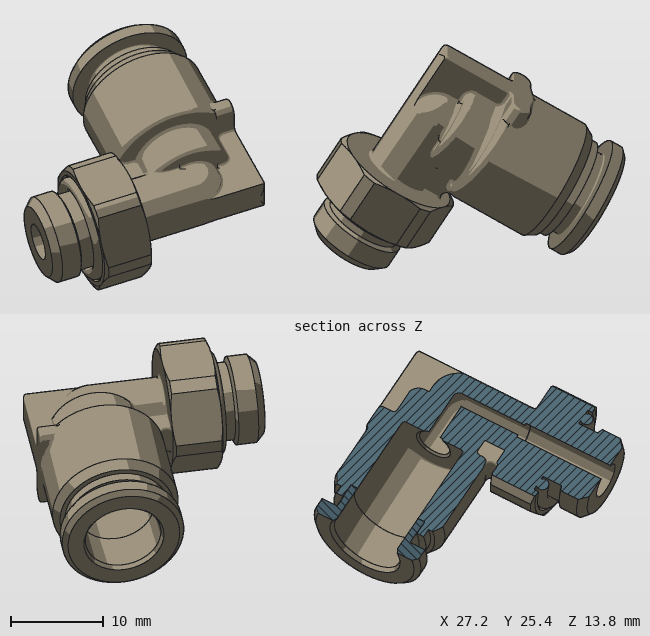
import cadquery as cq
import math


COLLAR_FACE_X = -20.15
COLLAR_FLANGE_RADIUS = 6.68
COLLAR_FLANGE_CHAMFER = 0.55
COLLAR_FLANGE_LENGTH = 1.88
COLLAR_NECK_RADIUS = 4.9
COLLAR_NECK_FILLET = 0.15
COLLAR_END_X = -15.3
TUBE_RADIUS = 4.15
TUBE_ENTRY_WIDENING = 0.25
TUBE_ENTRY_DEPTH = 0.52

LIP_X = -16.95
LIP_RADIUS = 5.75
SHOULDER_X = -15.91
SHOULDER_RADIUS = 6.27
SLEEVE_X = -14.82
SLEEVE_RADIUS = 6.9
SLEEVE_END_X = -5.42
REDUCED_RADIUS = 5.1
REDUCED_END_X = -1.28
SLEEVE_FILLET = 0.82

TUBE_STOP_X = -5.45
TUBE_STOP_FILLET = 0.27
PASSAGE_RADIUS = 1.88
PASSAGE_ENTRY_CHAMFER = 0.25
STUD_BORE_RADIUS = 2.0

ELBOW_RADIUS = 3.5
ELBOW_BASE_FILLET = 0.33
WEB_HALF_THICKNESS = 1.75
BACK_Y = 6.98
BACK_EDGE_FILLET = 0.27
PLATE_CORNER_RADIUS = 0.9
RIB_LEFT_X = -5.15
RIB_ARC_TOP_Y = -6.73
RIB_ARC_RADIUS = 0.63
RIB_EDGE_FILLET = 0.35
BLEND_RADIUS = 0.5
RIB_BLEND_RADIUS = 0.25
LUG_END_RADIUS = 1.2
LUG_CENTRE_X = SLEEVE_END_X - LUG_END_RADIUS
LUG_CENTRE_Z = 3.85

HEX_TOP_Y = -7.82
HEX_BOTTOM_Y = -13.33
HEX_SIDES = 6
HEX_ACROSS_FLATS = 13.0
HEX_CORNER_RADIUS = 7.1
HEX_FACE_RADIUS = 6.5
HEX_CHAMFER_LENGTH = 0.25
SEAL_GROOVE_RADIUS = 6.0
SEAL_GROOVE_DEPTH = 0.55
SEAL_RING_RADIUS = 5.07
SEAL_SECTION_RADIUS = 0.68
SEAL_CENTRE_Y = -13.25
NECK_RADIUS = 4.25
NECK_END_Y = -15.07
THREAD_RADIUS = 4.82
THREAD_START_Y = -15.35
THREAD_CHAMFER = 0.85
STUD_END_Y = -18.37


PICK_MARGIN = 0.03
OVERSIZE = 16.35


def turned_about_x(points):
    """Solid of revolution about X from (x, radius) points; the profile is closed."""
    return cq.Workplane("XY").polyline(points).close().revolve(360, (0, 0, 0), (1, 0, 0))


def turned_about_y(points):
    """Solid of revolution about Y from (radius, y) points; the profile is closed."""
    return cq.Workplane("XY").polyline(points).close().revolve(360, (0, 0, 0), (0, 1, 0))


def cylinder_x(radius, start_x, end_x):
    """Cylinder about X, from start_x towards +X."""
    return cq.Workplane("YZ", origin=(start_x, 0, 0)).circle(radius).extrude(end_x - start_x)


def cylinder_y(radius, start_y, end_y):
    """Cylinder about Y, from start_y towards -Y."""
    return cq.Workplane("XZ", origin=(0, start_y, 0)).circle(radius).extrude(start_y - end_y)


def block(x_range, y_range, half_height):
    """Box centred on Z = 0 that spans the given X and Y ranges."""
    (x0, x1), (y0, y1) = x_range, y_range
    centre = ((x0 + x1) / 2, (y0 + y1) / 2, 0)
    return cq.Workplane("XY", origin=centre).box(x1 - x0, y1 - y0, 2 * half_height)


def edges_within(body, x_range, y_range, z_range):
    """Edges whose centres lie in the given box, widened by the pick margin."""
    ranges = (x_range, y_range, z_range)
    low = tuple(min(r) - PICK_MARGIN for r in ranges)
    high = tuple(max(r) + PICK_MARGIN for r in ranges)
    return body.edges(cq.selectors.BoxSelector(low, high)).vals()


def web_edges(body, x_range, y_range):
    """Edges within the given X and Y ranges on both faces of the plate and rib."""
    upper, lower = WEB_HALF_THICKNESS, -WEB_HALF_THICKNESS
    return (
        edges_within(body, x_range, y_range, (upper, upper))
        + edges_within(body, x_range, y_range, (lower, lower))
    )


def make_sleeve():
    """Stepped sleeve and the reduced cylinder behind it, with rounded ends."""
    r = SLEEVE_FILLET
    step = r * math.sqrt(0.5)
    profile = (
        cq.Workplane("XY")
        .moveTo(LIP_X, 0)
        .lineTo(LIP_X, LIP_RADIUS)
        .lineTo(SHOULDER_X, LIP_RADIUS)
        .lineTo(SHOULDER_X, SHOULDER_RADIUS)
        .lineTo(SLEEVE_X, SLEEVE_RADIUS)
        .lineTo(SLEEVE_END_X - r, SLEEVE_RADIUS)
        .threePointArc(
            (SLEEVE_END_X - r + step, SLEEVE_RADIUS - r + step),
            (SLEEVE_END_X, SLEEVE_RADIUS - r),
        )
        .lineTo(SLEEVE_END_X, REDUCED_RADIUS + r)
        .threePointArc(
            (SLEEVE_END_X + r - step, REDUCED_RADIUS + r - step),
            (SLEEVE_END_X + r, REDUCED_RADIUS),
        )
        .lineTo(REDUCED_END_X - r, REDUCED_RADIUS)
        .threePointArc(
            (REDUCED_END_X - r + step, REDUCED_RADIUS - r + step),
            (REDUCED_END_X, REDUCED_RADIUS - r),
        )
        .lineTo(REDUCED_END_X, 0)
        .close()
    )
    return profile.revolve(360, (0, 0, 0), (1, 0, 0))


def make_elbow():
    """Two equal cylinders at right angles, joined by a sphere."""
    across = cylinder_x(ELBOW_RADIUS, TUBE_STOP_X, 0)
    down = cylinder_y(ELBOW_RADIUS, 0, HEX_TOP_Y)
    corner = cq.Workplane("XY").sphere(ELBOW_RADIUS)
    return across.union(down).union(corner)


def make_plate():
    """Thin back plate; its +X side follows the elbow cylinder."""
    inner = block((LUG_CENTRE_X, 0), (0, BACK_Y), WEB_HALF_THICKNESS)
    outer = cylinder_y(ELBOW_RADIUS, BACK_Y, 0).intersect(
        block((0, ELBOW_RADIUS), (0, BACK_Y), WEB_HALF_THICKNESS)
    )
    outline = (
        block((LUG_CENTRE_X, ELBOW_RADIUS), (-ELBOW_RADIUS, BACK_Y), ELBOW_RADIUS)
        .edges("|Z and >X and >Y")
        .fillet(PLATE_CORNER_RADIUS)
    )
    return inner.union(outer).intersect(outline)


def make_rib():
    """Web between sleeve and stud; a concave arc leads from the sleeve into its left side."""
    arc_left_x = RIB_LEFT_X - RIB_ARC_RADIUS
    arc_bottom_y = RIB_ARC_TOP_Y - RIB_ARC_RADIUS
    arc_reach = RIB_ARC_RADIUS * math.sqrt(0.5)
    hidden_left_x = SLEEVE_END_X - SLEEVE_FILLET
    rib = (
        cq.Workplane("XY", origin=(0, 0, -WEB_HALF_THICKNESS))
        .lineTo(hidden_left_x, 0)
        .lineTo(hidden_left_x, RIB_ARC_TOP_Y)
        .lineTo(arc_left_x, RIB_ARC_TOP_Y)
        .threePointArc(
            (arc_left_x + arc_reach, arc_bottom_y + arc_reach),
            (RIB_LEFT_X, arc_bottom_y),
        )
        .lineTo(RIB_LEFT_X, HEX_TOP_Y)
        .lineTo(0, HEX_TOP_Y)
        .close()
        .extrude(2 * WEB_HALF_THICKNESS)
    )
    left_outline = web_edges(rib, (hidden_left_x, RIB_LEFT_X), (HEX_TOP_Y, RIB_ARC_TOP_Y))
    return rib.newObject(left_outline).fillet(RIB_EDGE_FILLET)


def lug_column(end_y):
    """Upright bar with round ends, from the tube axis back to end_y."""
    return (
        cq.Workplane("XZ", origin=(LUG_CENTRE_X, end_y, 0))
        .slot2D(2 * (LUG_CENTRE_Z + LUG_END_RADIUS), 2 * LUG_END_RADIUS, 90)
        .extrude(end_y)
    )


def make_lug():
    """Lug whose foot is blended into the straight part of the sleeve."""
    blend_end_x = SLEEVE_END_X - SLEEVE_FILLET
    barrel = cylinder_x(SLEEVE_RADIUS, SLEEVE_X, 0).rotate((0, 0, 0), (1, 0, 0), 180)
    seat = barrel.union(lug_column(OVERSIZE))
    lug_left_x = LUG_CENTRE_X - LUG_END_RADIUS
    foot = edges_within(
        seat,
        (lug_left_x, SLEEVE_END_X),
        (0, SLEEVE_RADIUS - 2 * PICK_MARGIN),
        (-LUG_CENTRE_Z - LUG_END_RADIUS, LUG_CENTRE_Z + LUG_END_RADIUS),
    )
    seat = seat.newObject(foot).fillet(BLEND_RADIUS)
    kept = block((SLEEVE_X, blend_end_x), (0, BACK_Y), OVERSIZE)
    return seat.intersect(kept).union(lug_column(BACK_Y))


def make_corner_blend():
    """Concave blend between the plate face at +Z and the elbow's outer corner."""
    reach = ELBOW_RADIUS + BLEND_RADIUS
    arc_height = WEB_HALF_THICKNESS + BLEND_RADIUS
    foot = math.sqrt(reach**2 - arc_height**2)
    elbow_angle = math.atan2(arc_height, foot)
    touch = (ELBOW_RADIUS * math.cos(elbow_angle), ELBOW_RADIUS * math.sin(elbow_angle))
    touch_direction = elbow_angle + math.pi
    foot_direction = 3 * math.pi / 2
    middle_angle = (touch_direction + foot_direction) / 2
    middle = (
        foot + BLEND_RADIUS * math.cos(middle_angle),
        arc_height + BLEND_RADIUS * math.sin(middle_angle),
    )

    def section(start_x):
        return (
            cq.Workplane("YZ", origin=(start_x, 0, 0))
            .moveTo(0, WEB_HALF_THICKNESS)
            .lineTo(foot, WEB_HALF_THICKNESS)
            .threePointArc(middle, touch)
            .lineTo(0, touch[1])
            .close()
        )

    straight = section(REDUCED_END_X).extrude(-REDUCED_END_X)
    curved = section(0).revolve(90, (0, 0, 0), (0, -1, 0))
    curved = curved.intersect(cylinder_y(ELBOW_RADIUS, BACK_Y, 0))
    return straight.union(curved)


def make_neck_blend():
    """Concave ring between the end of the reduced cylinder and the elbow's X cylinder."""
    step = BLEND_RADIUS * (1 - math.sqrt(0.5))
    ring = (
        cq.Workplane("XY")
        .moveTo(REDUCED_END_X, 0)
        .lineTo(REDUCED_END_X, ELBOW_RADIUS + BLEND_RADIUS)
        .threePointArc(
            (REDUCED_END_X + step, ELBOW_RADIUS + step),
            (REDUCED_END_X + BLEND_RADIUS, ELBOW_RADIUS),
        )
        .lineTo(REDUCED_END_X + BLEND_RADIUS, 0)
        .close()
        .revolve(360, (0, 0, 0), (1, 0, 0))
    )
    return ring.intersect(block((REDUCED_END_X, 0), (REDUCED_END_X, BACK_Y), OVERSIZE))


def make_stud():
    """Hexagon, seal ring seated in its lower face, and threaded end."""
    hexagon = (
        cq.Workplane("XZ", origin=(0, HEX_TOP_Y, 0))
        .polygon(HEX_SIDES, HEX_ACROSS_FLATS / math.cos(math.pi / HEX_SIDES))
        .extrude(HEX_TOP_Y - HEX_BOTTOM_Y)
    )
    envelope = turned_about_y([
        (0, HEX_TOP_Y),
        (HEX_FACE_RADIUS, HEX_TOP_Y),
        (HEX_CORNER_RADIUS, HEX_TOP_Y - HEX_CHAMFER_LENGTH),
        (HEX_CORNER_RADIUS, HEX_BOTTOM_Y + HEX_CHAMFER_LENGTH),
        (HEX_FACE_RADIUS, HEX_BOTTOM_Y),
        (0, HEX_BOTTOM_Y),
    ])
    groove = cylinder_y(SEAL_GROOVE_RADIUS, HEX_BOTTOM_Y + SEAL_GROOVE_DEPTH, HEX_BOTTOM_Y)
    seal_ring = (
        cq.Workplane("XY")
        .center(SEAL_RING_RADIUS, SEAL_CENTRE_Y)
        .circle(SEAL_SECTION_RADIUS)
        .revolve(360, (-SEAL_RING_RADIUS, 0, 0), (-SEAL_RING_RADIUS, 1, 0))
    )
    threaded_end = turned_about_y([
        (0, HEX_TOP_Y),
        (NECK_RADIUS, HEX_TOP_Y),
        (NECK_RADIUS, NECK_END_Y),
        (THREAD_RADIUS, THREAD_START_Y),
        (THREAD_RADIUS, STUD_END_Y + THREAD_CHAMFER),
        (THREAD_RADIUS - THREAD_CHAMFER, STUD_END_Y),
        (0, STUD_END_Y),
    ])
    return hexagon.intersect(envelope).cut(groove).union(threaded_end).union(seal_ring)


def make_bores():
    """Collar recess, tube socket and the passage round the corner and out of the stud."""
    recess = cylinder_x(COLLAR_NECK_RADIUS, LIP_X, COLLAR_END_X)
    socket = (
        cylinder_x(TUBE_RADIUS, LIP_X, TUBE_STOP_X)
        .faces(">X")
        .edges()
        .fillet(TUBE_STOP_FILLET)
    )
    across = cylinder_x(PASSAGE_RADIUS, TUBE_STOP_X, 0)
    down = cylinder_y(PASSAGE_RADIUS, 0, HEX_TOP_Y)
    corner = cq.Workplane("XY").sphere(PASSAGE_RADIUS)
    entry = turned_about_x([
        (TUBE_STOP_X, 0),
        (TUBE_STOP_X, PASSAGE_RADIUS + PASSAGE_ENTRY_CHAMFER),
        (TUBE_STOP_X + PASSAGE_ENTRY_CHAMFER, PASSAGE_RADIUS),
        (TUBE_STOP_X + PASSAGE_ENTRY_CHAMFER, 0),
    ])
    stud_bore = cylinder_y(STUD_BORE_RADIUS, HEX_TOP_Y, STUD_END_Y)
    return recess.union(socket).union(entry).union(across).union(corner).union(down).union(stud_bore)


def blend_webs(body):
    """Concave fillets where the plate, rib and elbow meet the reduced cylinder."""
    plate_edges = web_edges(body, (SLEEVE_END_X, REDUCED_END_X), (ELBOW_RADIUS, BACK_Y - BACK_EDGE_FILLET))
    body = body.newObject(plate_edges).fillet(BLEND_RADIUS)
    rib_right_x = -math.sqrt(ELBOW_RADIUS**2 - WEB_HALF_THICKNESS**2)
    rib_top = web_edges(body, (RIB_LEFT_X, rib_right_x), (-REDUCED_RADIUS, -REDUCED_RADIUS + BLEND_RADIUS))
    body = body.newObject(rib_top).fillet(BLEND_RADIUS)
    rib_sides = web_edges(body, (rib_right_x, rib_right_x), (HEX_TOP_Y, -REDUCED_RADIUS))
    return body.newObject(rib_sides).fillet(RIB_BLEND_RADIUS)


def make_housing():
    """Elbow housing and stud in one piece."""
    body = make_sleeve().union(make_elbow()).union(make_lug())
    body = body.union(make_plate()).union(make_rib())
    body = blend_webs(body)
    body = body.faces(">Y").edges().fillet(BACK_EDGE_FILLET)
    corner_blend = make_corner_blend()
    body = body.union(corner_blend).union(corner_blend.mirror("XY"))
    body = body.union(make_neck_blend()).union(make_stud())
    base = edges_within(
        body,
        (RIB_LEFT_X, ELBOW_RADIUS),
        (HEX_TOP_Y, HEX_TOP_Y),
        (-ELBOW_RADIUS, ELBOW_RADIUS),
    )
    body = body.newObject(base).fillet(ELBOW_BASE_FILLET)
    return body.cut(make_bores())


def make_release_collar():
    """Flanged collar whose neck sits in the mouth of the housing."""
    flange_back_x = COLLAR_FACE_X + COLLAR_FLANGE_LENGTH
    chamfered_radius = COLLAR_FLANGE_RADIUS - COLLAR_FLANGE_CHAMFER
    fillet_step = COLLAR_NECK_FILLET * (1 - math.sqrt(0.5))
    profile = (
        cq.Workplane("XY")
        .moveTo(COLLAR_FACE_X, TUBE_RADIUS + TUBE_ENTRY_WIDENING)
        .lineTo(COLLAR_FACE_X, chamfered_radius)
        .lineTo(COLLAR_FACE_X + COLLAR_FLANGE_CHAMFER, COLLAR_FLANGE_RADIUS)
        .lineTo(flange_back_x, COLLAR_FLANGE_RADIUS)
        .lineTo(flange_back_x, COLLAR_NECK_RADIUS + COLLAR_NECK_FILLET)
        .threePointArc(
            (flange_back_x + fillet_step, COLLAR_NECK_RADIUS + fillet_step),
            (flange_back_x + COLLAR_NECK_FILLET, COLLAR_NECK_RADIUS),
        )
        .lineTo(COLLAR_END_X, COLLAR_NECK_RADIUS)
        .lineTo(COLLAR_END_X, TUBE_RADIUS)
        .lineTo(COLLAR_FACE_X + TUBE_ENTRY_DEPTH, TUBE_RADIUS)
        .close()
    )
    return profile.revolve(360, (0, 0, 0), (1, 0, 0))


housing = make_housing()
release_collar = make_release_collar()
result = cq.Compound.makeCompound([housing.val(), release_collar.val()])